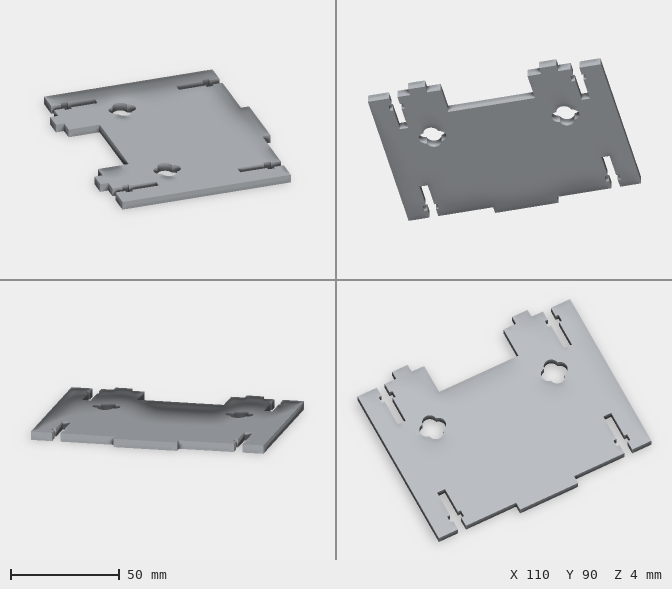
import cadquery as cq

length = 110.0
overall_width = 90.0
thickness = 4.0
tab_height = thickness
body_width = overall_width - 2 * tab_height
half_length = length / 2
half_width = body_width / 2

rear_tab_length = 30.0
front_tab_length = 8.0
front_tab_offset = 31.0

notch_length = 41.0
notch_depth = 15.1

slot_width = thickness + 0.1
slot_depth = 21.2
slot_inset = 12.0
nut_length = 7.0
nut_width = 3.3
nut_inset = 6.5

clover_spacing = 62.9
clover_inset = 29.9
lobe_radius = 3.5
lobe_offset = 3.0


def block(x, y, size_x, size_y):
    """Full-thickness rectangular block centred at x, y."""
    return cq.Workplane("XY").center(x, y).rect(size_x, size_y).extrude(thickness)


def t_slot(side, end):
    """T-slot cutter; side and end (-1 or 1) choose the corner."""
    x = side * (half_length - slot_inset)
    slot = block(x, end * (half_width - slot_depth / 2), slot_width, slot_depth)
    nut = block(x, end * (half_width - nut_inset), nut_length, nut_width)
    return slot.union(nut)


def clover(x, y):
    """Four-lobed hole cutter, with a block filling its middle."""
    cutter = block(x, y, 2 * lobe_offset, 2 * lobe_offset)
    for dx, dy in [(1, 0), (0, 1), (-1, 0), (0, -1)]:
        centre = (x + dx * lobe_offset, y + dy * lobe_offset)
        lobe = cq.Workplane("XY").center(*centre).circle(lobe_radius).extrude(thickness)
        cutter = cutter.union(lobe)
    return cutter


plate = block(0, 0, length, body_width)
plate = plate.union(block(0, half_width + tab_height / 2, rear_tab_length, tab_height))
plate = plate.cut(block(0, -half_width + notch_depth / 2, notch_length, notch_depth))

for side in (-1, 1):
    front_tab_y = -half_width - tab_height / 2
    plate = plate.union(block(side * front_tab_offset, front_tab_y, front_tab_length, tab_height))
    plate = plate.cut(clover(side * clover_spacing / 2, -half_width + clover_inset))
    for end in (-1, 1):
        plate = plate.cut(t_slot(side, end))

result = plate